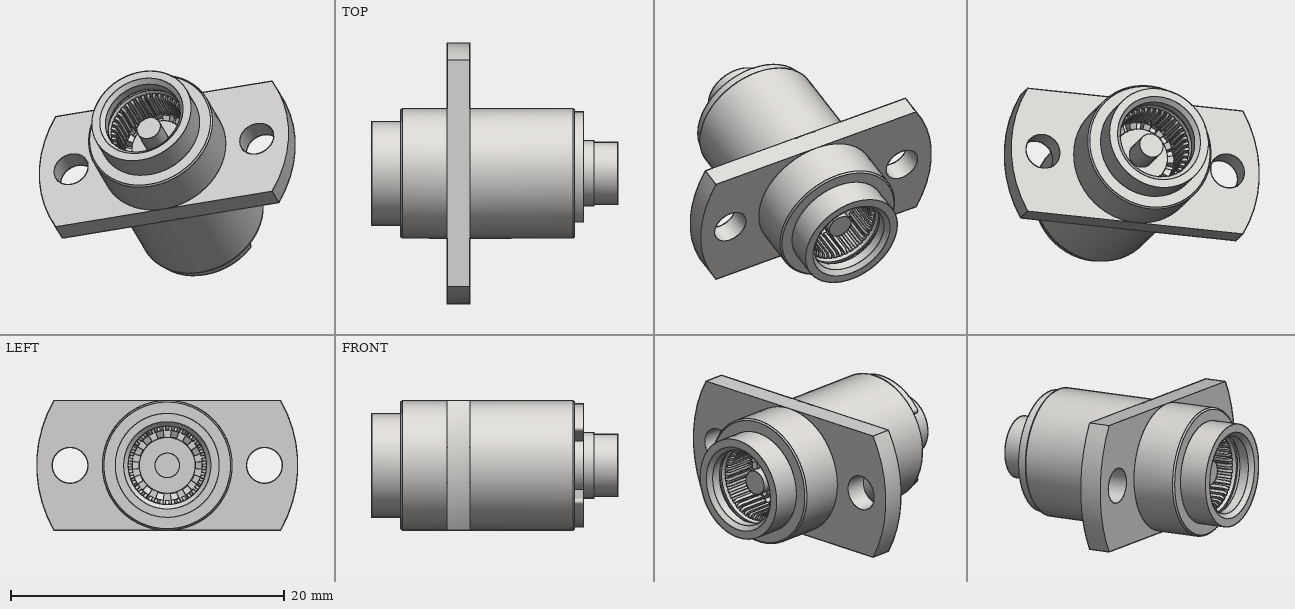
import cadquery as cq
import math


barrel_diameter = 9.5
barrel_radius = barrel_diameter / 2
barrel_front = 2.12
barrel_rear = 14.85
barrel_chamfer = 0.11
flange_front = 5.52
flange_thickness = 1.66
flange_radius = 9.55
mount_hole_radius = 1.3
mount_hole_offset = 7.1

sleeve_radius = 3.8
mouth_radius = 2.86
mouth_chamfer = 0.32
neck_radius = 2.14
neck_rear = 15.49
hub_radius = 2.4
hub_rear = 16.24
tail_radius = 2.3
total_length = 18.0

basket_radius = 3.17
pocket_front = 1.05
basket_front = 1.43
basket_rear = 4.15
basket_bore_radius = 2.85
basket_lead_in_length = 0.27
basket_lead_in_depth = 0.15
rib_count = 40
rib_inner_radius = 2.55
rib_width = 0.23
rib_front = 1.66
rib_nose_radius = 0.35

finger_count = 14
finger_tip_radius = 2.55
finger_tip = 4.3
finger_inner_radius = 2.08
finger_tip_slope = 0.5
finger_root = 5.15
boss_radius = 2.05
boss_front = 4.2

pin_radius = 0.9
pin_tip = 1.78
pin_rear = 6.88

clip_radius = 4.5
clip_gap_inner_half = 1.78
clip_gap_wall_angle = 17.0
clip_corner_radius = 0.23

finger_embed = 0.2


def cylinder(radius, start, end):
    """Solid cylinder on the X axis from x = start to x = end."""
    return cq.Workplane("YZ", origin=(start, 0, 0)).circle(radius).extrude(end - start)


def revolved(profile):
    """Solid of revolution about X from (x, radius) points."""
    return cq.Workplane("XY").polyline(profile).close().revolve(360, (0, 0, 0), (1, 0, 0))


def make_housing():
    barrel = cylinder(barrel_radius, barrel_front, barrel_rear).faces("<X or >X").chamfer(barrel_chamfer)
    flange_sides = cq.Workplane("XY").box(
        flange_thickness, 2 * flange_radius, 2 * barrel_radius, centered=(False, True, True)
    ).translate((flange_front, 0, 0))
    flange = cylinder(flange_radius, flange_front, flange_front + flange_thickness).intersect(flange_sides)
    mount_holes = (
        cq.Workplane("YZ", origin=(flange_front, 0, 0))
        .pushPoints([(-mount_hole_offset, 0), (mount_hole_offset, 0)])
        .circle(mount_hole_radius)
        .extrude(flange_thickness)
    )
    bore = cylinder(sleeve_radius, barrel_front, barrel_rear)
    return barrel.union(flange).cut(mount_holes).cut(bore)


def make_fingers():
    """Ring with a pointed front edge, kept only in equal sectors so that fingers and slots alternate."""
    outer_setback = finger_tip_slope * (basket_bore_radius - finger_tip_radius)
    inner_setback = finger_tip_slope * (finger_tip_radius - finger_inner_radius)
    wall_radius = basket_bore_radius + finger_embed
    ring = revolved([
        (finger_root + finger_embed, finger_inner_radius),
        (finger_tip + inner_setback, finger_inner_radius),
        (finger_tip, finger_tip_radius),
        (finger_tip + outer_setback, basket_bore_radius),
        (finger_tip + outer_setback, wall_radius),
        (finger_root + finger_embed, wall_radius),
    ])
    pitch = 360 / finger_count
    half_angle = math.radians(pitch / 4)
    reach = 2 * basket_bore_radius
    sector = (
        cq.Workplane("YZ", origin=(finger_tip, 0, 0))
        .polyline([
            (0, 0),
            (reach, reach * math.tan(half_angle)),
            (reach, -reach * math.tan(half_angle)),
        ])
        .close()
        .extrude(finger_root + finger_embed - finger_tip)
    )
    finger = ring.intersect(sector)
    return [finger.rotate((0, 0, 0), (1, 0, 0), i * pitch) for i in range(finger_count)]


def make_body():
    body = revolved([
        (0, 0),
        (0, sleeve_radius),
        (barrel_rear, sleeve_radius),
        (barrel_rear, neck_radius),
        (neck_rear, neck_radius),
        (neck_rear, hub_radius),
        (hub_rear, hub_radius),
        (hub_rear, tail_radius),
        (total_length, tail_radius),
        (total_length, 0),
    ])
    cavity = revolved([
        (0, 0),
        (0, mouth_radius + mouth_chamfer),
        (mouth_chamfer, mouth_radius),
        (pocket_front, mouth_radius),
        (pocket_front, basket_radius),
        (basket_rear, basket_radius),
        (basket_rear, basket_bore_radius),
        (finger_root, basket_bore_radius),
        (finger_root, 0),
    ])
    body = body.cut(cavity)
    for finger in make_fingers():
        body = body.union(finger)
    body = body.union(cylinder(boss_radius, boss_front, finger_root))
    return body.cut(cylinder(pin_radius, boss_front, pin_rear))


def make_basket():
    """Ring with a conical mouth and inward ribs whose front inner edges are rounded."""
    ring = revolved([
        (basket_front, basket_radius),
        (basket_front, basket_bore_radius + basket_lead_in_depth),
        (basket_front + basket_lead_in_length, basket_bore_radius),
        (basket_rear, basket_bore_radius),
        (basket_rear, basket_radius),
    ])
    rib_outer_radius = rib_inner_radius + rib_nose_radius
    nose_rear = rib_front + rib_nose_radius
    nose_mid = rib_nose_radius * math.sqrt(0.5)
    rib = (
        cq.Workplane("XZ", origin=(0, rib_width / 2, 0))
        .moveTo(rib_front, rib_outer_radius)
        .threePointArc((nose_rear - nose_mid, rib_outer_radius - nose_mid), (nose_rear, rib_inner_radius))
        .lineTo(basket_rear, rib_inner_radius)
        .lineTo(basket_rear, rib_outer_radius)
        .close()
        .extrude(rib_width)
    )
    ribs = [rib.rotate((0, 0, 0), (1, 0, 0), i * 360 / rib_count).val() for i in range(rib_count)]
    return cq.Workplane("XY").newObject([ring.val().fuse(*ribs)])


def make_clip():
    washer = cylinder(clip_radius, barrel_rear, neck_rear).cut(cylinder(neck_radius, barrel_rear, neck_rear))
    wall_slope = math.tan(math.radians(clip_gap_wall_angle))
    gap_start = math.sqrt(neck_radius**2 - clip_gap_inner_half**2)
    gap_outer_half = clip_gap_inner_half + wall_slope * (clip_radius - gap_start)
    axis_half = clip_gap_inner_half - wall_slope * gap_start
    gap = (
        cq.Workplane("YZ", origin=(barrel_rear, 0, 0))
        .polyline([
            (0, axis_half),
            (-clip_radius, gap_outer_half),
            (-clip_radius, -gap_outer_half),
            (0, -axis_half),
        ])
        .close()
        .extrude(neck_rear - barrel_rear)
    )
    gap_corners = cq.selectors.BoxSelector(
        (barrel_rear, -clip_radius, -clip_radius),
        (neck_rear, -neck_radius, clip_radius),
    )
    return washer.cut(gap).edges("|X").edges(gap_corners).fillet(clip_corner_radius)


def make_pin():
    return cylinder(pin_radius, pin_tip, pin_rear)


housing = make_housing()
body = make_body()
basket = make_basket()
clip = make_clip()
pin = make_pin()

result = cq.Compound.makeCompound([housing.val(), body.val(), basket.val(), clip.val(), pin.val()])